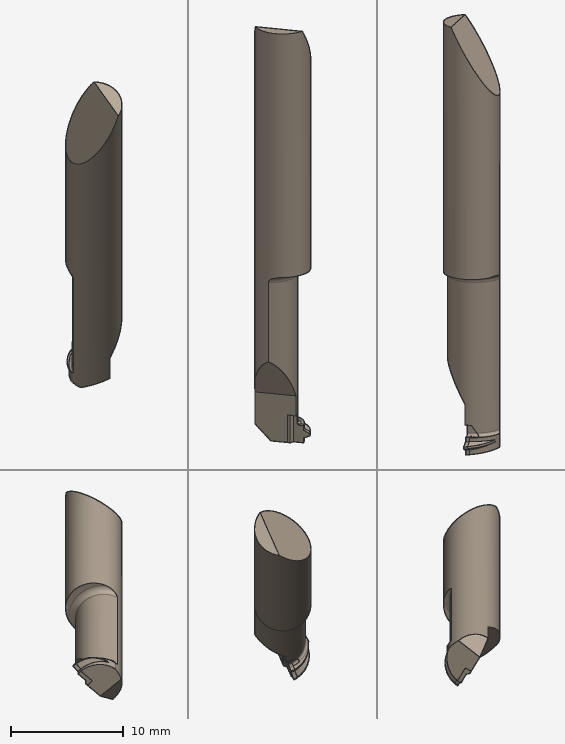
import cadquery as cq
import math

LENGTH = 39.5
RADIUS = 2.51
BEVEL_ANGLE = 60.0
TOP_BEVEL_Y = 1.25

NECK_SHIFT = 1.205
NECK_TOP = 16.45
NECK_TOP_FILLET = 0.6
HEAD_TOP = 1.65
HEAD_FILLET = 0.28

HEAD_SHIFT = 0.6
CLEARANCE_ANGLE = 7.6
TOOTH_ROOT_LOW = 0.45
TOOTH_ROOT_HIGH = 1.22
TOOTH_TIP_LOW = 0.7
TOOTH_TIP_HIGH = 0.9
TOOTH_HEIGHT = HEAD_SHIFT
TOOTH_RADIUS = 2.45
END_CHAMFER = 1.48

RAKE_Y = 0.25
RAKE_TOP = 4.5

TIP_TOP = 2.6
TIP_BACK_Y = -0.35
TIP_HEEL_Y = -1.03
TIP_RIGHT_X = -0.5
POCKET_FLOOR_Y = 0.0
POCKET_FLOOR_RIGHT_X = -1.0

MARGIN = 1.98
OUTSIDE = RADIUS + MARGIN
SLOPE = math.tan(math.radians(BEVEL_ANGLE))


def prism_along_x(points, start, end):
    """Extrude a Y-Z outline between two X positions."""
    return cq.Workplane("YZ", origin=(start, 0, 0)).polyline(points).close().extrude(end - start)


def top_bevel_cutter():
    low_z = LENGTH - (TOP_BEVEL_Y + OUTSIDE) * SLOPE
    high_z = LENGTH + MARGIN
    high_y = TOP_BEVEL_Y + MARGIN / SLOPE
    return prism_along_x([(-OUTSIDE, low_z), (high_y, high_z), (-OUTSIDE, high_z)], -OUTSIDE, OUTSIDE)


def rake_cutter():
    slope_end_z = RAKE_TOP + (OUTSIDE - RAKE_Y) * SLOPE
    points = [(RAKE_Y, -MARGIN), (RAKE_Y, RAKE_TOP), (OUTSIDE, slope_end_z), (OUTSIDE, -MARGIN)]
    return prism_along_x(points, -OUTSIDE, OUTSIDE)


def chip_pocket_cutter():
    """Recess in the rake face: a flat floor with a 45 degree wall on its +X side."""
    tool_y = RAKE_Y + MARGIN
    points = [
        (-OUTSIDE, POCKET_FLOOR_Y),
        (POCKET_FLOOR_RIGHT_X, POCKET_FLOOR_Y),
        (POCKET_FLOOR_RIGHT_X + tool_y - POCKET_FLOOR_Y, tool_y),
        (-OUTSIDE, tool_y),
    ]
    outline = cq.Workplane("XY", origin=(0, 0, -MARGIN)).polyline(points).close()
    return outline.extrude(MARGIN + TIP_TOP)


def neck_cutter():
    """Ring around the neck axis, with a rounded inner corner at each end."""
    outer = RADIUS + NECK_SHIFT + MARGIN
    diagonal = 1 - math.sqrt(0.5)
    profile = (
        cq.Workplane("XZ")
        .moveTo(outer, HEAD_TOP)
        .lineTo(RADIUS + HEAD_FILLET, HEAD_TOP)
        .threePointArc(
            (RADIUS + HEAD_FILLET * diagonal, HEAD_TOP + HEAD_FILLET * diagonal),
            (RADIUS, HEAD_TOP + HEAD_FILLET),
        )
        .lineTo(RADIUS, NECK_TOP - NECK_TOP_FILLET)
        .threePointArc(
            (RADIUS + NECK_TOP_FILLET * diagonal, NECK_TOP - NECK_TOP_FILLET * diagonal),
            (RADIUS + NECK_TOP_FILLET, NECK_TOP),
        )
        .lineTo(outer, NECK_TOP)
        .close()
    )
    return profile.revolve(360, (0, 0, 0), (0, 1, 0)).translate((NECK_SHIFT, 0, 0))


def tilt_for_clearance(shape):
    """Tilt about the lower edge of the rake face, so the -Y side rises."""
    return shape.rotate((0, RAKE_Y, 0), (1, RAKE_Y, 0), -CLEARANCE_ANGLE)


def tooth():
    """Disc with a tapered rim, tilted so that it rises towards -Y."""
    root_radius = TOOTH_RADIUS - TOOTH_HEIGHT
    points = [
        (0, TOOTH_ROOT_LOW),
        (root_radius, TOOTH_ROOT_LOW),
        (TOOTH_RADIUS, TOOTH_TIP_LOW),
        (TOOTH_RADIUS, TOOTH_TIP_HIGH),
        (root_radius, TOOTH_ROOT_HIGH),
        (0, TOOTH_ROOT_HIGH),
    ]
    disc = cq.Workplane("XZ").polyline(points).close().revolve(360, (0, 0, 0), (0, 1, 0))
    return tilt_for_clearance(disc.translate((TOOTH_RADIUS - RADIUS, 0, 0)))


def head_cutter():
    """Ring around the head that leaves the tooth standing."""
    ring = (
        cq.Workplane("XY", origin=(HEAD_SHIFT, 0, -MARGIN))
        .circle(OUTSIDE + HEAD_SHIFT)
        .circle(RADIUS)
        .extrude(MARGIN + HEAD_TOP)
    )
    return ring.cut(tooth())


def end_cutter():
    """Block that slopes the lower end."""
    block = cq.Workplane("XY").box(2 * OUTSIDE, 2 * OUTSIDE, MARGIN).translate((0, 0, -MARGIN / 2))
    return tilt_for_clearance(block)


def chamfer_cutter():
    """45 degree cut across the lower +X corner."""
    reach = END_CHAMFER + MARGIN
    points = [
        (RADIUS - reach, -MARGIN),
        (RADIUS + MARGIN, reach),
        (RADIUS + MARGIN, -MARGIN),
    ]
    return cq.Workplane("XZ").polyline(points).close().extrude(OUTSIDE, both=True)


def make_bar():
    """Complete outer shape, before the tip is parted from the holder."""
    bar = cq.Workplane("XY").circle(RADIUS).extrude(LENGTH)
    cutters = [
        top_bevel_cutter(),
        neck_cutter(),
        head_cutter(),
        rake_cutter(),
        chip_pocket_cutter(),
        end_cutter(),
        chamfer_cutter(),
    ]
    for cutter in cutters:
        bar = bar.cut(cutter)
    return bar


def tip_region():
    """Block that holds the tip: a plate behind the rake face with a sloping heel."""
    points = [
        (RAKE_Y + MARGIN, -MARGIN),
        (RAKE_Y + MARGIN, TIP_TOP),
        (TIP_BACK_Y, TIP_TOP),
        (TIP_HEEL_Y, HEAD_TOP),
        (TIP_BACK_Y, HEAD_TOP),
        (TIP_BACK_Y, -MARGIN),
    ]
    return prism_along_x(points, -OUTSIDE, TIP_RIGHT_X)


bar = make_bar()
holder = bar.cut(tip_region())
cutting_tip = bar.intersect(tip_region())

result = cq.Compound.makeCompound([holder.val(), cutting_tip.val()])